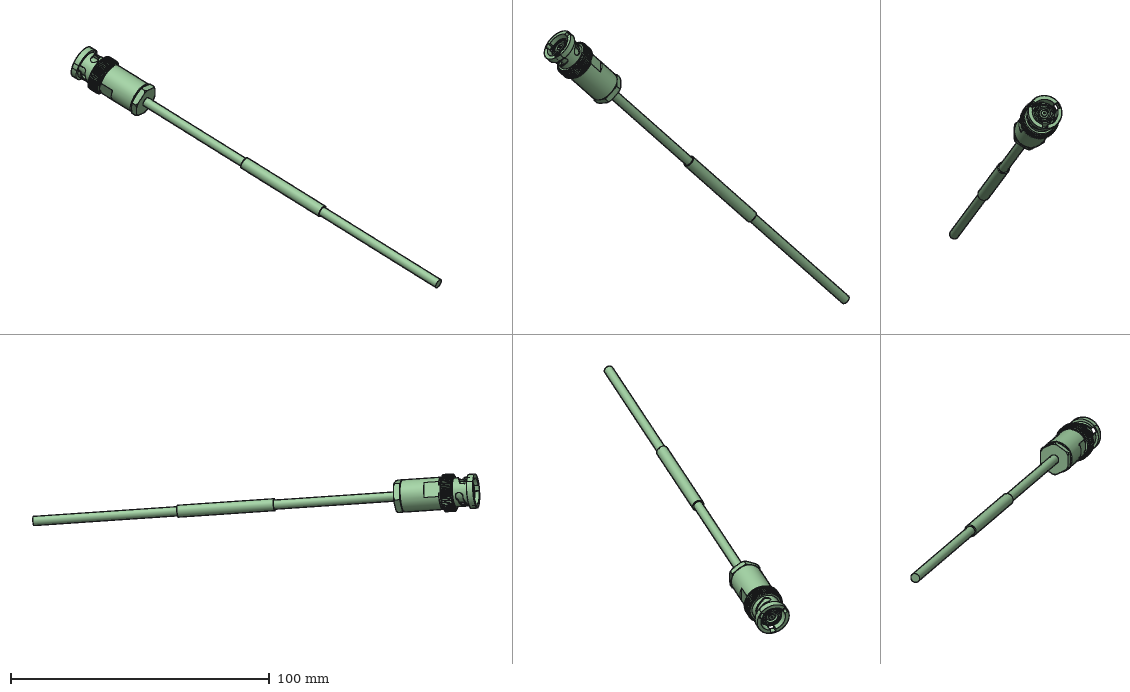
import cadquery as cq
import math

total_length = 175.1

flange_radius = 6.7
flange_length = 2.5
barrel_radius = 5.6
coupling_bore_radius = 5.0
knurl_radius = 14.5 / 2
knurl_chamfer_depth = 0.9
knurl_chamfer_length = 0.5
knurl_start = 8.2
coupling_length = 13.0
tooth_count = 60
tooth_depth = 0.7
groove_overrun = 0.2

track_count = 3
entry_angle = 30.0
track_turn = 52.0
entry_width = 2.3
entry_outer_radius = 6.1
ramp_width = 2.3
ramp_start_x = 4.4
lock_hole_x = 5.8
lock_hole_diameter = 3.0

neck_start = 8.8
collar_radius = 5.8
shell_start = 13.7
shell_radius = 6.3
shell_end = 29.0
shell_chamfer = 0.4
flat_offset = 11.0 / 2
flat_end = 19.5
contact_tubes = [(4.0, 3.5, 1.4), (3.0, 2.5, 1.4)]
insulator_radius = 2.0
insulator_front = 2.1
socket_radius = 1.2
socket_front = 1.4
socket_bore_radius = 0.4

nut_corner_radius = 6.7
nut_end = 31.5
nut_chamfer = 0.5

cable_radius = 3.7 / 2
cable_start = 24.5
sleeve_radius = 4.7 / 2
sleeve_start = 79.8
sleeve_end = 118.0


def cylinder(radius, start, end):
    """Round bar on the X axis between two stations."""
    return cq.Workplane("YZ", origin=(start, 0, 0)).circle(radius).extrude(end - start)


def tube(outer_radius, inner_radius, start, end):
    return cylinder(outer_radius, start, end).cut(cylinder(inner_radius, start, end))


def revolved(points):
    """Solid of revolution about X from (x, radius) points, which start and end on the axis."""
    outline = [(x, -radius) for x, radius in points]
    return cq.Workplane("XY").polyline(outline).close().revolve(360, (0, 0, 0), (1, 0, 0))


def knurl_groove():
    """One V-shaped groove along the top of the grip, parallel to the axis."""
    half_width = math.pi * knurl_radius / tooth_count
    return (
        cq.Workplane("YZ", origin=(knurl_start, 0, 0))
        .polyline([
            (0, knurl_radius - tooth_depth),
            (half_width, knurl_radius + groove_overrun),
            (-half_width, knurl_radius + groove_overrun),
        ])
        .close()
        .extrude(coupling_length - knurl_start)
    )


def bayonet_track():
    """Cutters of one track: entry groove, slanted ramp and locking hole, with mid-track on the -Y side."""
    half_turn = track_turn / 2
    half_span = barrel_radius * math.sin(math.radians(half_turn))
    ramp_advance = lock_hole_x - ramp_start_x

    entry = (
        cq.Workplane("XY")
        .box(ramp_start_x, entry_outer_radius, entry_width, centered=(False, False, True))
        .translate((0, -entry_outer_radius, 0))
        .rotate((0, 0, 0), (1, 0, 0), -half_turn)
    )
    ramp = (
        cq.Workplane("XZ", origin=(ramp_start_x + ramp_advance / 2, 0, 0))
        .slot2D(
            math.hypot(ramp_advance, 2 * half_span) + ramp_width,
            ramp_width,
            math.degrees(math.atan2(-2 * half_span, ramp_advance)),
        )
        .extrude(entry_outer_radius)
    )
    lock_hole = (
        cq.Workplane("XZ", origin=(lock_hole_x, 0, -half_span))
        .circle(lock_hole_diameter / 2)
        .extrude(entry_outer_radius)
    )
    return entry, ramp, lock_hole


def make_coupling():
    grip_edge = knurl_radius - knurl_chamfer_depth
    ring = revolved([
        (0, 0),
        (0, flange_radius),
        (flange_length, flange_radius),
        (flange_length, barrel_radius),
        (knurl_start, barrel_radius),
        (knurl_start, grip_edge),
        (knurl_start + knurl_chamfer_length, knurl_radius),
        (coupling_length - knurl_chamfer_length, knurl_radius),
        (coupling_length, grip_edge),
        (coupling_length, 0),
    ])
    for index in range(tooth_count):
        angle = (index + 0.5) * 360 / tooth_count
        ring = ring.cut(knurl_groove().rotate((0, 0, 0), (1, 0, 0), angle))
    ring = ring.cut(cylinder(coupling_bore_radius, 0, coupling_length))
    for index in range(track_count):
        angle = track_turn / 2 - entry_angle + index * 360 / track_count
        for cutter in bayonet_track():
            ring = ring.cut(cutter.rotate((0, 0, 0), (1, 0, 0), angle))
    return ring


def make_plug_body():
    body = revolved([
        (neck_start, 0),
        (neck_start, coupling_bore_radius),
        (coupling_length, coupling_bore_radius),
        (coupling_length, collar_radius),
        (shell_start, collar_radius),
        (shell_start, shell_radius),
        (shell_end - shell_chamfer, shell_radius),
        (shell_end, shell_radius - shell_chamfer),
        (shell_end, 0),
    ])
    for side in (-1, 1):
        flat_cut = cq.Workplane("XY").box(
            flat_end - coupling_length, shell_radius, 2 * shell_radius, centered=(False, True, True)
        )
        body = body.cut(flat_cut.translate((coupling_length, side * (flat_offset + shell_radius / 2), 0)))
    for outer_radius, inner_radius, front in contact_tubes:
        body = body.union(tube(outer_radius, inner_radius, front, neck_start))
    body = body.union(cylinder(insulator_radius, insulator_front, neck_start))
    body = body.union(cylinder(socket_radius, socket_front, neck_start))
    body = body.cut(cylinder(socket_bore_radius, socket_front, neck_start))
    return body.cut(cylinder(cable_radius, cable_start, shell_end))


def make_clamp_nut():
    """Hexagonal nut with corners at top and bottom, chamfered at the cable end."""
    hexagon = (
        cq.Workplane("YZ", origin=(shell_end, 0, 0))
        .polygon(6, 2 * nut_corner_radius)
        .extrude(nut_end - shell_end)
        .rotate((0, 0, 0), (1, 0, 0), 90)
    )
    chamfer_envelope = cylinder(nut_corner_radius, shell_end, nut_end).faces(">X").chamfer(nut_chamfer)
    return hexagon.intersect(chamfer_envelope).cut(cylinder(cable_radius, shell_end, nut_end))


def make_cable():
    return cylinder(cable_radius, cable_start, total_length)


def make_sleeve():
    return tube(sleeve_radius, cable_radius, sleeve_start, sleeve_end)


coupling = make_coupling()
plug_body = make_plug_body()
clamp_nut = make_clamp_nut()
cable = make_cable()
sleeve = make_sleeve()

result = cq.Compound.makeCompound([
    coupling.val(),
    plug_body.val(),
    clamp_nut.val(),
    cable.val(),
    sleeve.val(),
])